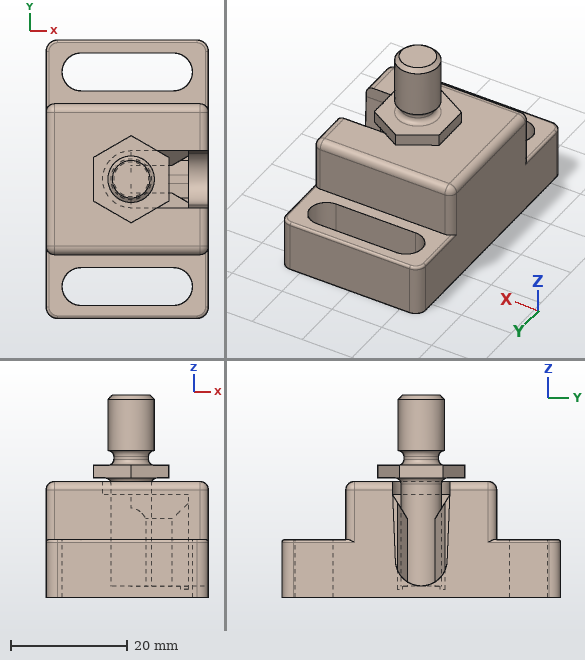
import cadquery as cq
import math

body_width = 28.0
flange_length = 48.0
flange_height = 10.0
flange_corner_radius = 2.0
flange_top_radius = 0.5
block_length = 26.0
block_height = 20.0
block_edge_radius = 1.5

mount_slot_length = 22.4
mount_slot_width = 6.5
mount_slot_offset = 18.5

stud_x = 0.65
stud_top = 34.9
thread_diameter = 8.0
thread_chamfer = 0.75
thread_bottom = 25.3
groove_diameter = 6.0
hex_top = 22.8
hex_bottom = 20.6
hex_across_flats = 13.0
shank_diameter = 7.0

entry_width = 9.85
entry_bottom = 17.7
wall_thickness = 3.4
wall_notch_radius = 4.45
throat_half_width = 2.4
throat_end_x = 7.75
mouth_flare = math.radians(30)
lip_angle = math.radians(58.6)

floor_height = 2.0
crown_half_width = 0.7
shoulder_half_width = 3.2
floor_fall = math.tan(math.radians(2.4))
floor_step = 0.5

entry_half_width = entry_width / 2
outer_wall_x = body_width / 2
inner_wall_x = outer_wall_x - wall_thickness
passage_length = inner_wall_x - stud_x
mouth_half_width = throat_half_width + (inner_wall_x - throat_end_x) * math.tan(mouth_flare)
lip_bottom = entry_bottom - (entry_half_width - throat_half_width) * math.tan(lip_angle)
shank_radius = shank_diameter / 2
relief_radius = (thread_diameter - groove_diameter) / 2


def make_flange():
    flange = cq.Workplane("XY").box(body_width, flange_length, flange_height, centered=(True, True, False))
    flange = flange.edges("|Z").fillet(flange_corner_radius)
    flange = flange.faces(">Z").edges().fillet(flange_top_radius)
    slots = (
        cq.Workplane("XY")
        .pushPoints([(0, -mount_slot_offset), (0, mount_slot_offset)])
        .slot2D(mount_slot_length, mount_slot_width)
        .extrude(flange_height)
    )
    return flange.cut(slots)


def make_block():
    block = cq.Workplane("XY").box(body_width, block_length, block_height, centered=(True, True, False))
    foot_height = flange_height - flange_top_radius
    foot = cq.Workplane("XY").box(body_width, block_length, foot_height, centered=(True, True, False))
    return block.edges("|Z or >Z").fillet(block_edge_radius).union(foot)


def make_entry_slot():
    """Straight-walled slot in the top face, rounded about the stud axis."""
    depth = block_height - entry_bottom
    length = outer_wall_x - stud_x
    level = cq.Workplane("XY", origin=(stud_x, 0, entry_bottom))
    channel = level.box(length, entry_width, depth, centered=(False, True, False))
    return channel.union(level.circle(entry_half_width).extrude(depth))


def make_lip_valley():
    """Valley below the entry slot whose sloping lips narrow to the throat."""
    return (
        cq.Workplane("YZ", origin=(stud_x, 0, 0))
        .moveTo(-entry_half_width, entry_bottom)
        .lineTo(entry_half_width, entry_bottom)
        .lineTo(throat_half_width, lip_bottom)
        .lineTo(-throat_half_width, lip_bottom)
        .close()
        .extrude(passage_length)
    )


def make_floor():
    """Solid under the passage, with a crowned top."""
    half_width = entry_half_width
    shoulder_z = floor_height - (shoulder_half_width - crown_half_width) * floor_fall
    step_z = shoulder_z - floor_step
    edge_z = step_z - (half_width - shoulder_half_width) * floor_fall
    right_half = [
        (crown_half_width, floor_height),
        (shoulder_half_width, shoulder_z),
        (shoulder_half_width, step_z),
        (half_width, edge_z),
        (half_width, 0),
    ]
    left_half = [(-y, z) for y, z in reversed(right_half)]
    return (
        cq.Workplane("YZ", origin=(stud_x, 0, 0))
        .polyline(right_half + left_half)
        .close()
        .extrude(passage_length)
    )


def make_mouth():
    """Upright-walled throat that flares towards the +X wall, above the crowned floor."""
    outline = [
        (stud_x, throat_half_width),
        (throat_end_x, throat_half_width),
        (inner_wall_x, mouth_half_width),
        (inner_wall_x, -mouth_half_width),
        (throat_end_x, -throat_half_width),
        (stud_x, -throat_half_width),
    ]
    return cq.Workplane("XY").polyline(outline).close().extrude(entry_bottom).cut(make_floor())


def make_wall_notch():
    """Round-bottomed notch through the +X wall, its sides leaning outwards to the entry slot."""
    centre_z = floor_height + wall_notch_radius
    return (
        cq.Workplane("YZ", origin=(inner_wall_x, 0, 0))
        .moveTo(-entry_half_width, entry_bottom)
        .lineTo(-wall_notch_radius, centre_z)
        .threePointArc((0, floor_height), (wall_notch_radius, centre_z))
        .lineTo(entry_half_width, entry_bottom)
        .close()
        .extrude(wall_thickness)
    )


def make_shank_seat():
    """Round seat that holds the shank of the stud."""
    seat = cq.Workplane("XY", origin=(stud_x, 0, floor_height))
    return seat.circle(shank_radius).extrude(block_height - floor_height)


def make_housing():
    housing = make_flange().union(make_block())
    cutters = [make_entry_slot(), make_lip_valley(), make_mouth(), make_wall_notch(), make_shank_seat()]
    for cutter in cutters:
        housing = housing.cut(cutter)
    return housing.solids()


def make_stud():
    thread_radius = thread_diameter / 2
    groove_radius = groove_diameter / 2
    arc_offset = relief_radius * math.sqrt(0.5)
    collar_radius = shank_radius + relief_radius
    shank_arc_z = hex_bottom - relief_radius
    lower_arc_z = hex_top + relief_radius
    upper_arc_z = thread_bottom - relief_radius
    turned = (
        cq.Workplane("XZ", origin=(stud_x, 0, 0))
        .moveTo(0, floor_height)
        .lineTo(shank_radius, floor_height)
        .lineTo(shank_radius, shank_arc_z)
        .threePointArc((collar_radius - arc_offset, shank_arc_z + arc_offset), (collar_radius, hex_bottom))
        .lineTo(collar_radius, hex_top)
        .lineTo(thread_radius, hex_top)
        .threePointArc((thread_radius - arc_offset, lower_arc_z - arc_offset), (groove_radius, lower_arc_z))
        .lineTo(groove_radius, upper_arc_z)
        .threePointArc((thread_radius - arc_offset, upper_arc_z + arc_offset), (thread_radius, thread_bottom))
        .lineTo(thread_radius, stud_top - thread_chamfer)
        .lineTo(thread_radius - thread_chamfer, stud_top)
        .lineTo(0, stud_top)
        .close()
        .revolve(360, (0, 0, 0), (0, 1, 0))
    )
    hexagon = (
        cq.Workplane("XY", origin=(stud_x, 0, hex_bottom))
        .polygon(6, hex_across_flats, circumscribed=True)
        .extrude(hex_top - hex_bottom)
    )
    return turned.union(hexagon).solids()


housing = make_housing()
stud = make_stud()
result = cq.Compound.makeCompound([housing.val(), stud.val()])